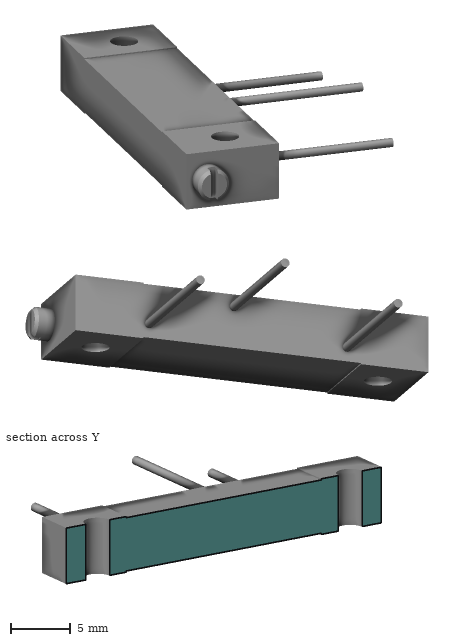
import cadquery as cq

body_length = 31.73
body_depth = 8.3
body_height = 4.95

left_pad_length = 6.05
right_pad_length = 6.12
relief_depth = 0.1

hole_diameter = 2.37
hole_spacing = 25.4
hole_y = 4.58

pin_diameter = 0.77
overall_depth = 20.73
pin_length = overall_depth - body_depth
low_pin_z = 1.35
high_pin_z = 3.75
first_pin_x = 7.35
first_pin_gap = 10.15
second_pin_gap = 7.62
second_pin_x = first_pin_x + first_pin_gap
third_pin_x = second_pin_x + second_pin_gap
pin_positions = [
    (first_pin_x, low_pin_z),
    (second_pin_x, high_pin_z),
    (third_pin_x, low_pin_z),
]

overall_length = 33.43
screw_length = overall_length - body_length
screw_diameter = 2.77
screw_chamfer = 0.27
screw_y = 1.9
screw_z = body_height / 2
slot_width = 0.67
slot_depth = 0.85


def make_body():
    """Block with end pads standing proud of the middle, and two through holes."""
    body = cq.Workplane("XY").box(body_length, body_depth, body_height, centered=False)
    relief_length = body_length - left_pad_length - right_pad_length
    relief = cq.Workplane("XY").box(relief_length, body_depth, relief_depth, centered=False)
    for relief_z in (0, body_height - relief_depth):
        body = body.cut(relief.translate((left_pad_length, 0, relief_z)))

    middle_x = body_length / 2
    hole_centers = [(middle_x + side * hole_spacing / 2, hole_y) for side in (-1, 1)]
    holes = (
        cq.Workplane("XY")
        .pushPoints(hole_centers)
        .circle(hole_diameter / 2)
        .extrude(body_height)
    )
    return body.cut(holes)


def make_pin(x, z):
    """Round pin running along +Y from the back face."""
    pin = cq.Workplane("XZ").circle(pin_diameter / 2).extrude(-pin_length)
    return pin.translate((x, body_depth, z))


def make_screw():
    """Screw head along +X with a chamfered rim and a slot running along Z."""
    head = cq.Workplane("YZ").circle(screw_diameter / 2).extrude(screw_length)
    head = head.faces(">X").chamfer(screw_chamfer)
    slot = (
        cq.Workplane("XY")
        .box(slot_depth, slot_width, screw_diameter)
        .translate((screw_length - slot_depth / 2, 0, 0))
    )
    return head.cut(slot).translate((body_length, screw_y, screw_z))


result = make_body().union(make_screw())
for pin_x, pin_z in pin_positions:
    result = result.union(make_pin(pin_x, pin_z))